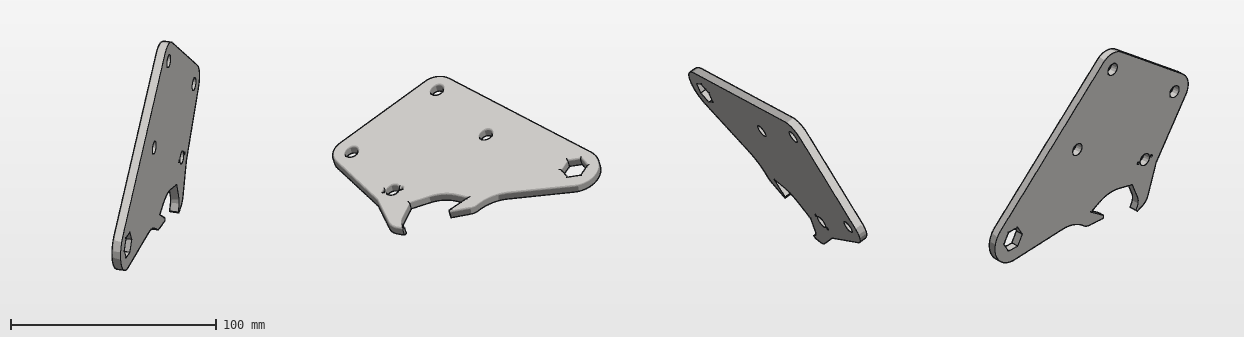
import cadquery as cq
import math

thickness = 4.8
plate_length = 133.3
edge_radius = 1.3

corner_radius = 9.5
hex_corner_radius = 12.5
top_hole = (14.5, 40.8)
side_hole = (plate_length / 2 - corner_radius, 7.6)
hex_center = (hex_corner_radius - plate_length / 2, -26.4)

middle_hole = (-9.9, 5.3)
slotted_hole = (36.7, -22.5)
hole_diameter = 6.4
pin_diameter = 1.25
pin_offset = 4.5
hex_across_flats = 10.9

flank_bend = (44.5, -28.0)
hook_heel = (37.9, -47.6)
hook_heel_radius = 7.3
hook_point = (29.5, -51.3)
hook_trim_reach = 2.9
hook_throat_start = (31.5, -47.6)
hook_throat_middle = (32.1, -44.9)
hook_throat_end = (31.6, -42.1)

mouth_corner = (28.0, -33.2)
roof_arc_start = (18.1, -30.9)
roof_arc_end = (5.5, -32.8)
notch = (-0.4, -35.9)

beak_point = (10.8, -43.6)
beak_blunt_y = 8.3
beak_trim_size = 5.3
beak_heel = (-4.0, -42.9)
beak_heel_radius = 6.0
neck_arc_end = (-20.0, -36.7)


def on_circle(center, radius, angle):
    return (center[0] + radius * math.cos(angle), center[1] + radius * math.sin(angle))


def tangent_angle(start, start_radius, end, end_radius):
    """Direction from each centre to the line touching both circles on the right of start -> end."""
    dy = end[0] - start[0]
    dz = end[1] - start[1]
    return math.atan2(dz, dy) - math.acos((start_radius - end_radius) / math.hypot(dy, dz))


def corner_arc(sketch, center, radius, start_angle, end_angle):
    """Line to a rounded corner, then its arc, counter-clockwise."""
    sweep = (end_angle - start_angle) % (2 * math.pi)
    return sketch.lineTo(*on_circle(center, radius, start_angle)).threePointArc(
        on_circle(center, radius, start_angle + sweep / 2),
        on_circle(center, radius, start_angle + sweep),
    )


def make_plate():
    flank_angle = tangent_angle(flank_bend, 0, side_hole, corner_radius)
    upper_angle = tangent_angle(side_hole, corner_radius, top_hole, corner_radius)
    slope_angle = tangent_angle(top_hole, corner_radius, hex_center, hex_corner_radius)
    bottom_angle = tangent_angle(hex_center, hex_corner_radius, neck_arc_end, 0)

    sketch = cq.Workplane("YZ").workplane(offset=-thickness / 2).moveTo(*flank_bend)
    sketch = corner_arc(sketch, side_hole, corner_radius, flank_angle, upper_angle)
    sketch = corner_arc(sketch, top_hole, corner_radius, upper_angle, slope_angle)
    sketch = corner_arc(sketch, hex_center, hex_corner_radius, slope_angle, bottom_angle)
    sketch = (
        sketch.lineTo(*neck_arc_end)
        .tangentArcPoint(beak_heel, relative=False)
        .lineTo(*beak_point)
        .lineTo(*notch)
        .lineTo(*roof_arc_end)
        .tangentArcPoint(roof_arc_start, relative=False)
        .lineTo(*mouth_corner)
        .lineTo(*hook_throat_end)
        .threePointArc(hook_throat_middle, hook_throat_start)
        .lineTo(*hook_point)
        .lineTo(*hook_heel)
        .close()
    )
    plate = sketch.extrude(thickness)
    for heel, radius in ((hook_heel, hook_heel_radius), (beak_heel, beak_heel_radius)):
        plate = plate.edges(cq.selectors.NearestToPointSelector((0, *heel))).fillet(radius)
    return plate


def cut_hexagon(plate):
    """Through hexagon with two sides parallel to Y."""
    across_corners = hex_across_flats / math.cos(math.pi / 6)
    cutter = (
        cq.Workplane("YZ")
        .center(*hex_center)
        .polygon(6, across_corners)
        .extrude(thickness, both=True)
    )
    return plate.cut(cutter)


def blunt_points(plate):
    """Trim the sharp ends of the beak and the hook through the full thickness."""
    beak_cutter = (
        cq.Workplane("YZ")
        .center(beak_blunt_y + beak_trim_size / 2, beak_point[1])
        .rect(beak_trim_size, beak_trim_size)
        .extrude(thickness, both=True)
    )
    hook_cutter = (
        cq.Workplane("YZ")
        .center(*hook_point)
        .polygon(4, 2 * hook_trim_reach)
        .extrude(thickness, both=True)
    )
    return plate.cut(beak_cutter).cut(hook_cutter)


def rounded_hole_cutter(center, diameter):
    """Through hole along X that flares out to a rounded rim at the -X face."""
    radius = diameter / 2
    front = -thickness / 2
    back = thickness / 2
    arc_inset = edge_radius * (1 - math.sqrt(0.5))
    return (
        cq.Workplane("XY")
        .moveTo(front, 0)
        .lineTo(front, radius + edge_radius)
        .threePointArc((front + arc_inset, radius + arc_inset), (front + edge_radius, radius))
        .lineTo(back, radius)
        .lineTo(back, 0)
        .close()
        .revolve(360, (0, 0, 0), (1, 0, 0))
        .translate((0, *center))
    )


plate = cut_hexagon(make_plate())
plate = plate.faces("<X").edges().fillet(edge_radius)
plate = blunt_points(plate)

for hole in (top_hole, side_hole, middle_hole, slotted_hole):
    plate = plate.cut(rounded_hole_cutter(hole, hole_diameter))

for side in (-1, 1):
    pin_hole = (slotted_hole[0] + side * pin_offset, slotted_hole[1])
    plate = plate.cut(rounded_hole_cutter(pin_hole, pin_diameter))

result = plate